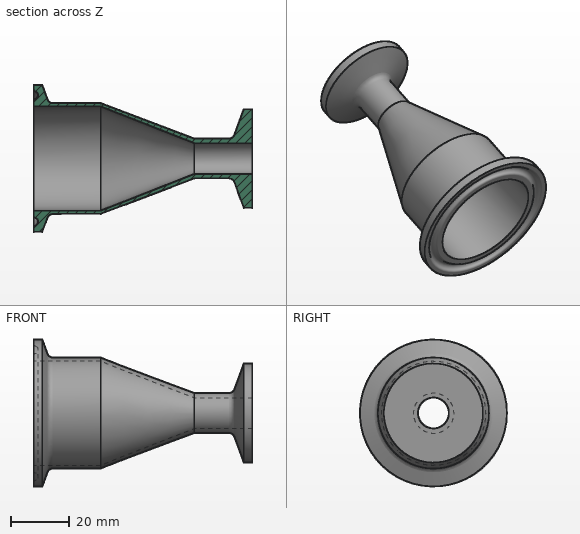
import cadquery as cq
import math

length = 75.0
cone_start_x = 22.95
cone_end_x = length - 19.95

large_flange_dia = 50.5
large_tube_dia = 38.1
large_bore_dia = 35.7
small_flange_dia = 34.0
small_tube_dia = 13.8
small_bore_dia = 10.5

rim_thickness = 3.0
back_angle = math.radians(20)
neck_fillet = 1.9

groove_center_radius = 21.75
groove_half_width = 1.95
groove_lip_width = 0.7
groove_depth = 1.5


def flange_back_length(flange_dia, tube_dia):
    """Axial length from the face to the sharp corner of taper and tube."""
    return rim_thickness + (flange_dia - tube_dia) / 2 * math.tan(back_angle)


def make_body():
    """Outer solid, with the flange-to-tube corners rounded."""
    large_neck_x = flange_back_length(large_flange_dia, large_tube_dia)
    small_neck_x = length - flange_back_length(small_flange_dia, small_tube_dia)
    body = (
        cq.Workplane("XY")
        .moveTo(0, 0)
        .lineTo(0, large_flange_dia / 2)
        .lineTo(rim_thickness, large_flange_dia / 2)
        .lineTo(large_neck_x, large_tube_dia / 2)
        .lineTo(cone_start_x, large_tube_dia / 2)
        .lineTo(cone_end_x, small_tube_dia / 2)
        .lineTo(small_neck_x, small_tube_dia / 2)
        .lineTo(length - rim_thickness, small_flange_dia / 2)
        .lineTo(length, small_flange_dia / 2)
        .lineTo(length, 0)
        .close()
        .revolve(360, (0, 0, 0), (1, 0, 0))
    )
    for neck_x in (large_neck_x, small_neck_x):
        neck_edge = cq.selectors.BoxSelector(
            (neck_x - 0.1, -large_flange_dia, -large_flange_dia),
            (neck_x + 0.1, large_flange_dia, large_flange_dia),
        )
        body = body.edges(neck_edge).fillet(neck_fillet)
    return body


def make_bore():
    """Straight bores at both ends, joined by a cone."""
    return (
        cq.Workplane("XY")
        .moveTo(0, 0)
        .lineTo(0, large_bore_dia / 2)
        .lineTo(cone_start_x, large_bore_dia / 2)
        .lineTo(cone_end_x, small_bore_dia / 2)
        .lineTo(length, small_bore_dia / 2)
        .lineTo(length, 0)
        .close()
        .revolve(360, (0, 0, 0), (1, 0, 0))
    )


def make_groove():
    """Round-bottomed ring whose lips roll smoothly into the flange face."""
    wall_angle = 2 * math.atan(groove_depth / groove_half_width)
    lip_radius = groove_lip_width / math.sin(wall_angle)
    bottom_half_width = groove_half_width - groove_lip_width
    lip_drop = lip_radius * (1 - math.cos(wall_angle))
    lip_mid_drop = lip_radius * (1 - math.cos(wall_angle / 2))
    lip_mid_offset = groove_half_width - lip_radius * math.sin(wall_angle / 2)
    center = groove_center_radius
    return (
        cq.Workplane("XY")
        .moveTo(0, center - groove_half_width)
        .threePointArc((lip_mid_drop, center - lip_mid_offset), (lip_drop, center - bottom_half_width))
        .threePointArc((groove_depth, center), (lip_drop, center + bottom_half_width))
        .threePointArc((lip_mid_drop, center + lip_mid_offset), (0, center + groove_half_width))
        .close()
        .revolve(360, (0, 0, 0), (1, 0, 0))
    )


result = make_body().cut(make_bore()).cut(make_groove())